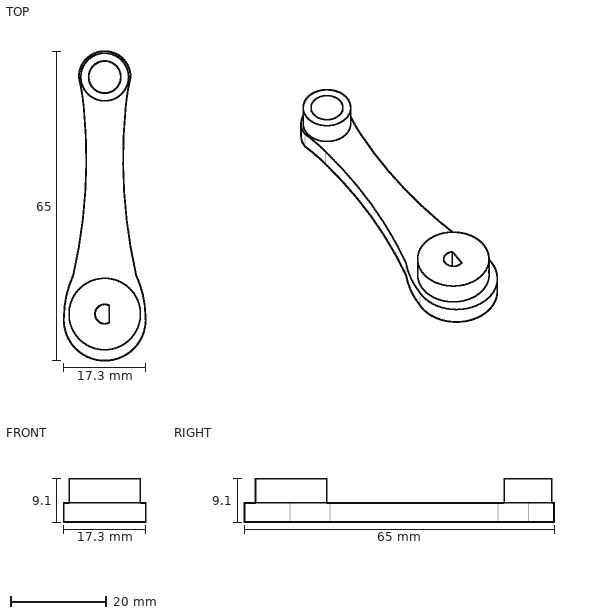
import cadquery as cq

overall_length = 64.95
overall_height = 9.1
arm_thickness = 4.0
boss_height = overall_height - arm_thickness

hub_diameter = 15.0
shaft_diameter = 4.0
shaft_flat_x = 0.9

pin_y = 49.7
pin_boss_diameter = 10.0
pin_hole_diameter = 6.7

cap_radius = 5.45
tip_y = pin_y + cap_radius
heel_y = tip_y - overall_length
heel_half_width = 8.6
heel_shoulder_y = -0.3
hub_neck = (6.6, 8.1)
hub_flank_mid = (8.05, 3.9)
waist = (3.9, 30.5)
pin_neck = (4.4, 43.3)
pin_flank_mid = (4.8, 46.45)


def mirrored(point):
    """Return the matching point on the -X side of the arm."""
    return (-point[0], point[1])


def arm_plate():
    heel_shoulder = (heel_half_width, heel_shoulder_y)
    cap_shoulder = (cap_radius, pin_y)
    return (
        cq.Workplane("XY")
        .moveTo(*heel_shoulder)
        .threePointArc(hub_flank_mid, hub_neck)
        .threePointArc(waist, pin_neck)
        .threePointArc(pin_flank_mid, cap_shoulder)
        .threePointArc((0, tip_y), mirrored(cap_shoulder))
        .threePointArc(mirrored(pin_flank_mid), mirrored(pin_neck))
        .threePointArc(mirrored(waist), mirrored(hub_neck))
        .threePointArc(mirrored(hub_flank_mid), mirrored(heel_shoulder))
        .threePointArc((0, heel_y), heel_shoulder)
        .close()
        .extrude(arm_thickness)
    )


def boss(center_y, diameter):
    """Round boss standing on top of the arm."""
    return (
        cq.Workplane("XY", origin=(0, center_y, arm_thickness))
        .circle(diameter / 2)
        .extrude(boss_height)
    )


def shaft_hole():
    """D-shaped cutter with its flat on the +X side."""
    round_cutter = cq.Workplane("XY").circle(shaft_diameter / 2).extrude(overall_height)
    flat_side = (
        cq.Workplane("XY", origin=(shaft_flat_x, 0, 0))
        .rect(shaft_diameter, shaft_diameter)
        .extrude(overall_height)
        .translate((shaft_diameter / 2, 0, 0))
    )
    return round_cutter.cut(flat_side)


def pin_hole():
    return (
        cq.Workplane("XY", origin=(0, pin_y, 0))
        .circle(pin_hole_diameter / 2)
        .extrude(overall_height)
    )


result = (
    arm_plate()
    .union(boss(0, hub_diameter))
    .union(boss(pin_y, pin_boss_diameter))
    .cut(shaft_hole())
    .cut(pin_hole())
)